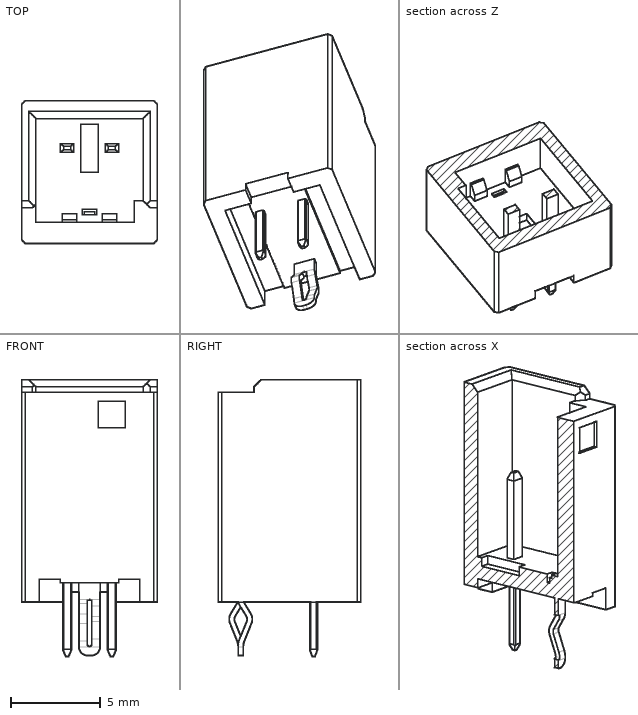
import cadquery as cq
import math


WIDTH = 7.6
DEPTH = 8.0
HEIGHT = 12.45
CORNER_CHAMFER = 0.2
FRONT_Y = -DEPTH / 2
BACK_Y = DEPTH / 2

SIDE_WALL = 0.8
BACK_WALL = 1.0
FRONT_WALL = 1.2
FLOOR_Z = 2.4
LEAD_IN = 0.4
CAVITY_LEFT = -WIDTH / 2 + SIDE_WALL
CAVITY_RIGHT = WIDTH / 2 - SIDE_WALL
CAVITY_FRONT = FRONT_Y + FRONT_WALL
CAVITY_BACK = BACK_Y - BACK_WALL

RIM_DROP = 0.7
RIM_DEPTH = 2.0
RIM_CHAMFER = 0.4
RIM_Z = HEIGHT - RIM_DROP
RIM_Y = FRONT_Y + RIM_DEPTH
LEFT_TIP_CHAMFER = 0.2
RIGHT_TIP_CHAMFER = 0.4

KEY_WIDTH = 0.5
KEY_BACK = RIM_Y + RIM_CHAMFER

RAMP_SPACING = 2.25
RAMP_WIDTH = 0.8
RAMP_REACH = 0.47
RAMP_LEDGE = 0.12
RAMP_SLOPE_HEIGHT = 0.55
RAMP_HEIGHT = 1.0

FLOOR_RECESS_WIDTH = 1.0
FLOOR_RECESS_LENGTH = 2.7
FLOOR_RECESS_Y = 1.34
FLOOR_RECESS_DEPTH = 0.5
SLOT_WIDTH = 0.8
SLOT_LENGTH = 0.3
SLOT_SETBACK = 1.62
SLOT_FRONT = FRONT_Y + SLOT_SETBACK
SLOT_DEPTH = 0.5
TAB_WIDTH = 0.6
TAB_LENGTH = 0.17
TAB_HEIGHT = 0.3

MARK_SIZE = 1.5
MARK_X = 1.25
MARK_TOP_MARGIN = 1.2
MARK_Z = HEIGHT - MARK_TOP_MARGIN - MARK_SIZE / 2
MARK_DEPTH = 0.2

UNDER_WIDTH = 5.6
UNDER_HEIGHT = 1.28
UNDER_BACK_WALL = 1.0
PAD_WIDTH = 3.3
PAD_DROP = 0.2
PAD_Z = UNDER_HEIGHT - PAD_DROP
VENT_WIDTH = 2.5
VENT_HEIGHT = 0.56

PIN_PITCH = 2.5
PIN_Y = 1.35
TAIL_WIDTH = 0.52
TAIL_DEPTH = 0.46
TAIL_EDGE = 0.07
TAIL_SHOULDER_Z = -2.65
TAIL_END_Z = -3.05
TAIL_TIP = 0.16
CONTACT_WIDTH = 0.75
CONTACT_DEPTH = 0.5
CONTACT_SHOULDER_Z = 7.0
CONTACT_TOP_Z = 7.4
CONTACT_TIP_WIDTH = 0.4
CONTACT_TIP_DEPTH = 0.2

CLIP_Y = -2.73
CLIP_WIDTH = 1.2
CLIP_THICKNESS = 0.3
CLIP_SLOT = 0.24
CLIP_SLOT_RADIUS = 0.118
CLIP_SLOT_TOP_Z = 0.1
CLIP_SLOT_END_Z = -2.48
CLIP_END_Z = -3.0
CLIP_END_RADIUS = 0.5
CLIP_BULGE = 0.555
CLIP_BENDS = (
    (0, 0.0, 0.55),
    (CLIP_BULGE, -0.92, 0.45),
    (0, -2.3, 1.05),
)


def block(x0, x1, y0, y1, z0, z1):
    """Axis-aligned box between two opposite corners."""
    return cq.Workplane("XY").box(x1 - x0, y1 - y0, z1 - z0, centered=False).translate((x0, y0, z0))


def frustum(x, y, z0, size0, z1, size1):
    """Rectangular taper from size0 at z0 to size1 at z1."""
    return (
        cq.Workplane("XY", origin=(x, y, z0))
        .rect(*size0)
        .workplane(offset=z1 - z0)
        .rect(*size1)
        .loft(ruled=True)
    )


def make_cavity():
    width = CAVITY_RIGHT - CAVITY_LEFT
    depth = CAVITY_BACK - CAVITY_FRONT
    centre_y = (CAVITY_FRONT + CAVITY_BACK) / 2
    cavity = block(CAVITY_LEFT, CAVITY_RIGHT, CAVITY_FRONT, CAVITY_BACK, FLOOR_Z, HEIGHT)
    cavity = cavity.cut(
        block(CAVITY_RIGHT - KEY_WIDTH, CAVITY_RIGHT, CAVITY_FRONT, KEY_BACK, FLOOR_Z, RIM_Z)
    )
    lead_in = frustum(
        0, centre_y,
        HEIGHT - LEAD_IN, (width, depth),
        HEIGHT, (width + 2 * LEAD_IN, depth + 2 * LEAD_IN),
    )
    return cavity.union(lead_in)


def make_rim_cut():
    """Material removed above the lowered front rim, with the side walls' ends bevelled."""
    profile = [
        (FRONT_Y, RIM_Z),
        (RIM_Y, RIM_Z),
        (RIM_Y, HEIGHT - RIM_CHAMFER),
        (RIM_Y + RIM_CHAMFER, HEIGHT),
        (FRONT_Y, HEIGHT),
    ]
    cut = cq.Workplane("YZ").polyline(profile).close().extrude(WIDTH / 2, both=True)
    tips = (
        (CAVITY_LEFT, -LEFT_TIP_CHAMFER),
        (CAVITY_RIGHT, RIGHT_TIP_CHAMFER),
    )
    for x, outward in tips:
        corner = [(x, RIM_Y), (x + outward, RIM_Y), (x, RIM_Y + abs(outward))]
        bevel = cq.Workplane("XY", origin=(0, 0, RIM_Z)).polyline(corner).close().extrude(RIM_DROP)
        cut = cut.union(bevel)
    return cut


def make_underside_cut():
    pocket = block(
        -UNDER_WIDTH / 2, UNDER_WIDTH / 2, FRONT_Y, BACK_Y - UNDER_BACK_WALL, 0, UNDER_HEIGHT
    )
    pad = block(
        -PAD_WIDTH / 2, PAD_WIDTH / 2, FRONT_Y, BACK_Y - UNDER_BACK_WALL, PAD_Z, UNDER_HEIGHT
    )
    vent = block(-VENT_WIDTH / 2, VENT_WIDTH / 2, FRONT_Y, BACK_Y, 0, VENT_HEIGHT)
    return pocket.cut(pad).union(vent)


def make_floor_cuts():
    recess = block(
        -FLOOR_RECESS_WIDTH / 2, FLOOR_RECESS_WIDTH / 2,
        FLOOR_RECESS_Y - FLOOR_RECESS_LENGTH / 2, FLOOR_RECESS_Y + FLOOR_RECESS_LENGTH / 2,
        FLOOR_Z - FLOOR_RECESS_DEPTH, FLOOR_Z,
    )
    slot_bottom = FLOOR_Z - SLOT_DEPTH
    slot = block(
        -SLOT_WIDTH / 2, SLOT_WIDTH / 2, SLOT_FRONT, SLOT_FRONT + SLOT_LENGTH, slot_bottom, FLOOR_Z
    )
    tab = block(
        -TAB_WIDTH / 2, TAB_WIDTH / 2,
        SLOT_FRONT, SLOT_FRONT + TAB_LENGTH,
        slot_bottom, slot_bottom + TAB_HEIGHT,
    )
    return recess.union(slot.cut(tab))


def make_ramp(x):
    """Rib on the front wall whose top slopes down into the cavity."""
    top = FLOOR_Z + RAMP_HEIGHT
    profile = [
        (CAVITY_FRONT, FLOOR_Z),
        (CAVITY_FRONT + RAMP_REACH, FLOOR_Z),
        (CAVITY_FRONT + RAMP_REACH, top - RAMP_SLOPE_HEIGHT),
        (CAVITY_FRONT + RAMP_LEDGE, top),
        (CAVITY_FRONT, top),
    ]
    rib = cq.Workplane("YZ").polyline(profile).close().extrude(RAMP_WIDTH / 2, both=True)
    return rib.translate((x, 0, 0))


def make_housing():
    housing = block(-WIDTH / 2, WIDTH / 2, FRONT_Y, BACK_Y, 0, HEIGHT)
    housing = housing.edges("|Z").chamfer(CORNER_CHAMFER)
    mark = block(
        MARK_X - MARK_SIZE / 2, MARK_X + MARK_SIZE / 2,
        FRONT_Y, FRONT_Y + MARK_DEPTH,
        MARK_Z - MARK_SIZE / 2, MARK_Z + MARK_SIZE / 2,
    )
    for cut in (make_cavity(), make_rim_cut(), make_underside_cut(), make_floor_cuts(), mark):
        housing = housing.cut(cut)
    for side in (-1, 1):
        housing = housing.union(make_ramp(side * RAMP_SPACING / 2))
    return housing


def make_pin(x):
    tail_size = (TAIL_WIDTH, TAIL_DEPTH)
    tail = (
        cq.Workplane("XY", origin=(x, PIN_Y, TAIL_END_Z))
        .rect(*tail_size)
        .extrude(FLOOR_Z - TAIL_END_Z)
        .edges("|Z")
        .chamfer(TAIL_EDGE)
    )
    tip_block = cq.Workplane("XY", origin=(x, PIN_Y, TAIL_END_Z)).rect(*tail_size)
    tip_block = tip_block.extrude(TAIL_SHOULDER_Z - TAIL_END_Z)
    tip = frustum(x, PIN_Y, TAIL_END_Z, (TAIL_TIP, TAIL_TIP), TAIL_SHOULDER_Z, tail_size)
    tail = tail.cut(tip_block.cut(tip))
    contact_size = (CONTACT_WIDTH, CONTACT_DEPTH)
    contact = (
        cq.Workplane("XY", origin=(x, PIN_Y, PAD_Z))
        .rect(*contact_size)
        .extrude(CONTACT_SHOULDER_Z - PAD_Z)
    )
    contact_tip = frustum(
        x, PIN_Y,
        CONTACT_SHOULDER_Z, contact_size,
        CONTACT_TOP_Z, (CONTACT_TIP_WIDTH, CONTACT_TIP_DEPTH),
    )
    return tail.union(contact).union(contact_tip)


def toward(start, end, distance):
    """Point a given distance from start on the way to end."""
    length = math.dist(start, end)
    return tuple(p + (q - p) * distance / length for p, q in zip(start, end))


def turn_angle(before, corner, after):
    """Change of direction at a corner of a path, in radians."""
    heading_in = math.atan2(corner[1] - before[1], corner[0] - before[0])
    heading_out = math.atan2(after[1] - corner[1], after[0] - corner[0])
    return abs(heading_out - heading_in)


def make_clip_leg(side):
    """Bowed half of the clip: side -1 is the left half bowing forward, +1 the right half bowing back."""
    points = [(CLIP_Y, PAD_Z)]
    points += [(CLIP_Y + side * bulge, z) for bulge, z, _ in CLIP_BENDS]
    points += [(CLIP_Y, CLIP_END_Z)]
    path = cq.Workplane("YZ", origin=(side * CLIP_WIDTH / 4, 0, 0)).moveTo(*points[0])
    for i, (_, _, radius) in enumerate(CLIP_BENDS, start=1):
        before, corner, after = points[i - 1:i + 2]
        setback = radius * math.tan(turn_angle(before, corner, after) / 2)
        path = path.lineTo(*toward(corner, before, setback))
        path = path.tangentArcPoint(toward(corner, after, setback), relative=False)
    path = path.lineTo(*points[-1])
    section = cq.Workplane("XY", origin=(side * CLIP_WIDTH / 4, CLIP_Y, PAD_Z))
    return section.rect(CLIP_WIDTH / 2, CLIP_THICKNESS).sweep(path)


def make_clip():
    """Two oppositely bowed legs, trimmed to a round-ended outline and split by a slot."""
    reach = 2 * (CLIP_BULGE + CLIP_THICKNESS)
    outline = block(
        -CLIP_WIDTH / 2, CLIP_WIDTH / 2, CLIP_Y - reach / 2, CLIP_Y + reach / 2, CLIP_END_Z, PAD_Z
    )
    outline = outline.edges("|Y and <Z").fillet(CLIP_END_RADIUS)
    slot = block(
        -CLIP_SLOT / 2, CLIP_SLOT / 2,
        CLIP_Y - reach / 2, CLIP_Y + reach / 2,
        CLIP_SLOT_END_Z, CLIP_SLOT_TOP_Z,
    )
    slot = slot.edges("|Y and <Z").fillet(CLIP_SLOT_RADIUS)
    return make_clip_leg(-1).union(make_clip_leg(1)).intersect(outline.cut(slot))


result = make_housing().union(make_clip())
for side in (-1, 1):
    result = result.union(make_pin(side * PIN_PITCH / 2))